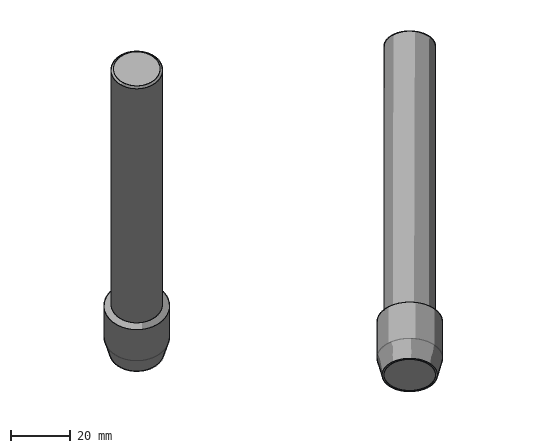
import cadquery as cq

total_length = 140.0

rod_radius = 8.75
tip_chamfer_height = 0.5
tip_chamfer_width = 0.8

sleeve_radius = 11.13
sleeve_bottom_radius = 9.4
sleeve_height = 23.4
shoulder_height = 0.8
nose_height = 7.1


def make_rod():
    """Round rod with a chamfered top, running the full length."""
    chamfer_start = total_length - tip_chamfer_height
    profile = (
        cq.Workplane("XZ")
        .lineTo(rod_radius, 0)
        .lineTo(rod_radius, chamfer_start)
        .lineTo(rod_radius - tip_chamfer_width, total_length)
        .lineTo(0, total_length)
        .close()
    )
    return profile.revolve(360, (0, 0, 0), (0, 1, 0))


def make_sleeve():
    """Sleeve with a sloping shoulder, a tapered nose and a bore that fits the rod."""
    profile = (
        cq.Workplane("XZ")
        .moveTo(rod_radius, 0)
        .lineTo(sleeve_bottom_radius, 0)
        .lineTo(sleeve_radius, nose_height)
        .lineTo(sleeve_radius, sleeve_height - shoulder_height)
        .lineTo(rod_radius, sleeve_height)
        .close()
    )
    return profile.revolve(360, (0, 0, 0), (0, 1, 0))


rod = make_rod()
sleeve = make_sleeve()

result = cq.Compound.makeCompound([rod.val(), sleeve.val()])